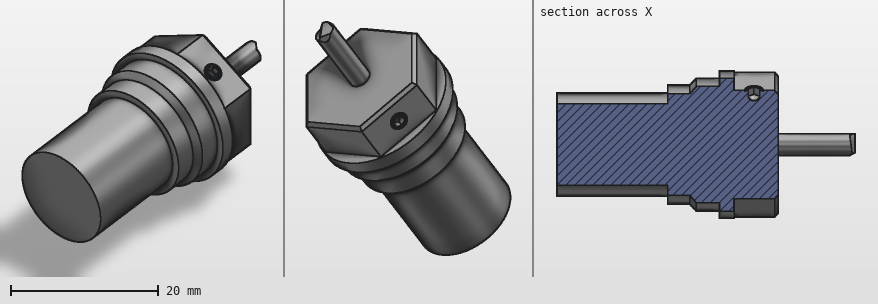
import cadquery as cq
import math

NOSE_DIAMETER = 14.0
NOSE_END_Y = 15.0
STEP_DIAMETER = 16.2
STEP_END_Y = 18.0
BARREL_DIAMETER = 18.0
BARREL_END_Y = 22.0
FLANGE_DIAMETER = 20.0
FLANGE_END_Y = 24.0

HEX_ACROSS_FLATS = 17.0
HEX_LENGTH = 6.0
HEX_CHAMFER = 0.5
HEX_END_Y = FLANGE_END_Y + HEX_LENGTH

CABLE_DIAMETER = 3.0
CABLE_END_Y = 40.4
CABLE_BEVELS = [
    (150.0, 0.28, 0.40),
    (270.0, 0.43, 0.78),
]
NOTCH_START_X = 0.35
NOTCH_FLOOR_X = 0.85
NOTCH_DEPTH = 0.55
NOTCH_TILT = 8.0

SCREWS = [
    (60.0, 0.0),
    (240.0, 30.0),
]
SCREW_Y = 26.7
SCREW_DIAMETER = 2.46
SCREW_CHAMFER_WIDTH = 0.23
SCREW_CHAMFER_ANGLE = 30.0
SOCKET_ACROSS_FLATS = 1.5
SOCKET_CORNER_DEPTH = 1.1
SOCKET_TIP_ANGLE = 30.0


def across_corners(across_flats):
    return across_flats / math.cos(math.radians(30))


def make_turned_body():
    nose_radius = NOSE_DIAMETER / 2
    step_radius = STEP_DIAMETER / 2
    barrel_radius = BARREL_DIAMETER / 2
    flange_radius = FLANGE_DIAMETER / 2
    taper_end_y = STEP_END_Y + barrel_radius - step_radius
    profile = [
        (0, 0),
        (nose_radius, 0),
        (nose_radius, NOSE_END_Y),
        (step_radius, NOSE_END_Y),
        (step_radius, STEP_END_Y),
        (barrel_radius, taper_end_y),
        (barrel_radius, BARREL_END_Y),
        (flange_radius, BARREL_END_Y),
        (flange_radius, FLANGE_END_Y),
        (0, FLANGE_END_Y),
    ]
    return cq.Workplane("XY").polyline(profile).close().revolve(360, (0, 0), (0, 1))


def plane_facing_back(y):
    return cq.Plane(origin=(0, y, 0), xDir=(0, 0, 1), normal=(0, 1, 0))


def make_hex_head():
    head = cq.Workplane(plane_facing_back(FLANGE_END_Y))
    head = head.polygon(6, across_corners(HEX_ACROSS_FLATS)).extrude(HEX_LENGTH)
    return head.faces(">Y").chamfer(HEX_CHAMFER)


def make_bevel_cutter(direction, radial_width, length):
    rim = CABLE_DIAMETER / 2
    inner = (rim - radial_width, CABLE_END_Y)
    outer = (rim + radial_width, CABLE_END_Y - 2 * length)
    corner = (rim + radial_width, CABLE_END_Y)
    cutter = cq.Workplane("XY").polyline([inner, outer, corner]).close()
    cutter = cutter.extrude(CABLE_DIAMETER, both=True)
    return cutter.rotate((0, 0, 0), (0, 1, 0), -direction)


def make_notch_cutter():
    outside_x = CABLE_DIAMETER
    floor_y = CABLE_END_Y - NOTCH_DEPTH
    wall_run = NOTCH_FLOOR_X - NOTCH_START_X
    profile = [
        (NOTCH_START_X - wall_run, CABLE_END_Y + NOTCH_DEPTH),
        (NOTCH_FLOOR_X, floor_y),
        (outside_x, floor_y),
        (outside_x, CABLE_END_Y + NOTCH_DEPTH),
    ]
    cutter = cq.Workplane("XY").polyline(profile).close()
    cutter = cutter.extrude(CABLE_DIAMETER, both=True)
    return cutter.rotate((0, CABLE_END_Y, 0), (1, CABLE_END_Y, 0), NOTCH_TILT)


def make_cable():
    cable = cq.Workplane(plane_facing_back(HEX_END_Y))
    cable = cable.circle(CABLE_DIAMETER / 2).extrude(CABLE_END_Y - HEX_END_Y)
    for direction, radial_width, length in CABLE_BEVELS:
        cable = cable.cut(make_bevel_cutter(direction, radial_width, length))
    return cable.cut(make_notch_cutter())


def revolve_about_z(profile):
    """Revolve a closed (radius, height) profile about the Z axis."""
    return cq.Workplane("XZ").polyline(profile).close().revolve(360, (0, 0), (0, 1))


def make_screw_groove():
    """Groove between the bore and the chamfered rim of the screw, opening at Z = 0."""
    rim = SCREW_DIAMETER / 2
    depth = SCREW_CHAMFER_WIDTH * math.tan(math.radians(SCREW_CHAMFER_ANGLE))
    return revolve_about_z([(rim - SCREW_CHAMFER_WIDTH, 0), (rim, 0), (rim, -depth)])


def make_screw_socket():
    """Hex socket with a conical bottom, opening at Z = 0."""
    corner_radius = across_corners(SOCKET_ACROSS_FLATS) / 2
    tip_depth = SOCKET_CORNER_DEPTH + corner_radius * math.tan(math.radians(SOCKET_TIP_ANGLE))
    hexagon = cq.Workplane("XY").polygon(6, 2 * corner_radius).extrude(-tip_depth)
    pointed_bore = revolve_about_z([
        (0, 0),
        (corner_radius, 0),
        (corner_radius, -SOCKET_CORNER_DEPTH),
        (0, -tip_depth),
    ])
    return hexagon.intersect(pointed_bore)


def place_on_flat(cutter, direction):
    """Move a cutter from Z = 0 to the flat of the head that faces the given direction."""
    cutter = cutter.translate((0, SCREW_Y, HEX_ACROSS_FLATS / 2))
    return cutter.rotate((0, 0, 0), (0, 1, 0), 90 - direction)


result = make_turned_body().union(make_hex_head()).union(make_cable())
for screw_direction, socket_turn in SCREWS:
    socket = make_screw_socket().rotate((0, 0, 0), (0, 0, 1), socket_turn)
    result = result.cut(place_on_flat(make_screw_groove(), screw_direction))
    result = result.cut(place_on_flat(socket, screw_direction))